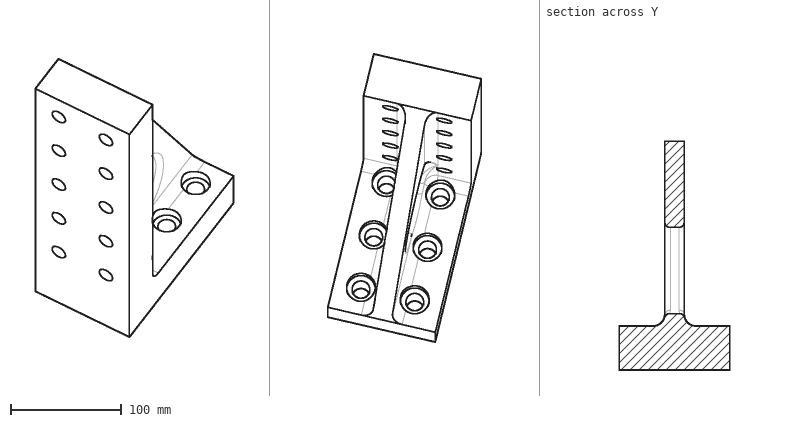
import cadquery as cq

width = 100.0
depth = 180.0
height = 300.0
wall = 40.0

rib_thickness = 18.0
corner_radius = 10.0

window_diameter = 80.0
window_y = wall + window_diameter / 2
window_z = wall + corner_radius + window_diameter / 2
window_edge_radius = 5.0
window_rounding_gap = 0.05

hole_pitch = 50.0
column_x = (-hole_pitch / 2, hole_pitch / 2)
end_margin = 25.0

upright_hole_diameter = 14.0
upright_rows = 5

base_hole_diameter = 16.0
base_rows = 3
counterbore_diameter = 26.0
counterbore_depth = 9.0


def side_pocket():
    """Rounded box on the +X side of the rib; its rounded edges leave the inner fillets."""
    box = cq.Workplane("XY").box(width, depth, height, centered=False)
    corner_edges = box.edges("(<X and <Y) or (<X and <Z) or (<Y and <Z)")
    return corner_edges.fillet(corner_radius).translate((rib_thickness / 2, wall, wall))


def make_body():
    """Upright and base joined by a triangular rib, filleted where the three meet."""
    outline = [(0, 0), (depth, 0), (depth, wall), (wall, height), (0, height)]
    block = cq.Workplane("YZ").polyline(outline).close().extrude(width / 2, both=True)
    pocket = side_pocket()
    return block.cut(pocket).cut(pocket.mirror("YZ"))


def is_window_rim(edge):
    """True for an edge that runs around the window on one face of the rib."""
    axis_point = cq.Vector(0, window_y, window_z)
    tolerance = 0.01
    for fraction in (0, 0.25, 0.5, 0.75, 1):
        offset = edge.positionAt(fraction) - axis_point
        radial = cq.Vector(0, offset.y, offset.z).Length
        if abs(radial - window_diameter / 2) > tolerance:
            return False
    return edge.geomType() != "LINE"


def cut_window(body):
    """Cut the window and round its rims.

    The window only touches the upright, so the rims vanish there. The rounding is made
    on the part behind the upright, which is then joined to the upright again.
    """
    bore = (
        cq.Workplane("YZ")
        .center(window_y, window_z)
        .circle(window_diameter / 2)
        .extrude(width / 2, both=True)
    )
    pierced = body.cut(bore)
    upright_zone = cq.Workplane("XY").box(
        width, wall + window_rounding_gap, height, centered=(True, False, False)
    )
    upright = pierced.intersect(upright_zone)
    ribbed_base = pierced.cut(upright_zone)
    rims = [edge for edge in ribbed_base.edges().vals() if is_window_rim(edge)]
    return ribbed_base.newObject(rims).fillet(window_edge_radius).union(upright)


def row_positions(free_end, rows):
    """Hole centres along a leg, counted back from its free end."""
    return [free_end - end_margin - row * hole_pitch for row in range(rows)]


def cut_upright_holes(body):
    """Plain through holes along Y in the upright."""
    centres = [(x, z) for x in column_x for z in row_positions(height, upright_rows)]
    holes = (
        cq.Workplane("XZ")
        .pushPoints(centres)
        .circle(upright_hole_diameter / 2)
        .extrude(-(wall + corner_radius))
    )
    return body.cut(holes)


def cut_base_holes(body):
    """Through holes along Z in the base, counterbored from its upper face."""
    centres = [(x, y) for x in column_x for y in row_positions(depth, base_rows)]
    holes = (
        cq.Workplane("XY")
        .pushPoints(centres)
        .circle(base_hole_diameter / 2)
        .extrude(wall)
    )
    counterbores = (
        cq.Workplane("XY", origin=(0, 0, wall - counterbore_depth))
        .pushPoints(centres)
        .circle(counterbore_diameter / 2)
        .extrude(counterbore_depth + corner_radius)
    )
    return body.cut(holes).cut(counterbores)


result = make_body()
result = cut_window(result)
result = cut_upright_holes(result)
result = cut_base_holes(result)